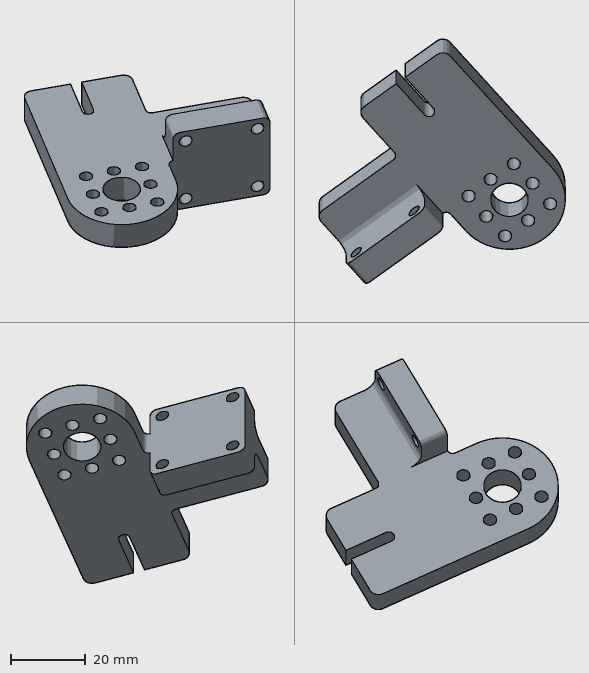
import cadquery as cq
import math

plate_thickness = 7.95
overall_length = 61.5
nose_radius = 15.0
body_length = overall_length - nose_radius
arm_width = 21.05
arm_right = -8.0
corner_radius = 2.5
inner_corner_radius = 1.5

slot_width = 3.1
slot_length = 13.65
bore_diameter = 10.0
screw_hole_diameter = 3.5
axis_hole_offset = 8.0
diagonal_hole_radius = 11.0

flange_thickness = 7.95
flange_length = 27.0
flange_height = 26.7
flange_corner_radius = 2.0
flange_hole_spacing = 20.0
cove_radius = 3.6
cove_width = 3.1

body_left = -body_length
arm_left = arm_right - arm_width
flange_start = nose_radius + inner_corner_radius
arm_top = flange_start + flange_length
flange_left = arm_right - flange_thickness
flange_mid_y = (flange_start + arm_top) / 2
half_plate = plate_thickness / 2


def make_plate():
    outline = (
        cq.Workplane("XY", origin=(0, 0, -half_plate))
        .moveTo(0, -nose_radius)
        .threePointArc((nose_radius, 0), (0, nose_radius))
        .lineTo(arm_right, nose_radius)
        .lineTo(arm_right, arm_top)
        .lineTo(arm_left, arm_top)
        .lineTo(arm_left, nose_radius)
        .lineTo(body_left, nose_radius)
        .lineTo(body_left, -nose_radius)
        .close()
    )
    plate = outline.extrude(plate_thickness)

    outer_corners = [(body_left, -nose_radius), (body_left, nose_radius), (arm_left, arm_top)]
    inner_corners = [(arm_left, nose_radius), (arm_right, nose_radius)]
    for corners, radius in ((outer_corners, corner_radius), (inner_corners, inner_corner_radius)):
        for x, y in corners:
            edge = plate.edges(cq.selectors.NearestToPointSelector((x, y, 0)))
            plate = edge.fillet(radius)
    return plate


def make_flange():
    block = cq.Workplane("XY").box(flange_thickness, flange_length, flange_height)
    block = block.edges("|X").fillet(flange_corner_radius)
    return block.translate((flange_left + flange_thickness / 2, flange_mid_y, 0))


def make_cove(side):
    """Concave strip joining the flange to the plate face on one side (+1 top, -1 bottom)."""
    center_x = flange_left - cove_radius
    rise = math.sqrt(cove_radius**2 - (cove_radius - cove_width) ** 2)
    cove_top = half_plate + rise
    mid = cove_radius * math.sqrt(0.5)
    embed = flange_thickness / 2
    return (
        cq.Workplane("XZ", origin=(0, arm_top, 0))
        .moveTo(flange_left - cove_width, side * half_plate)
        .threePointArc((center_x + mid, side * (cove_top - mid)), (flange_left, side * cove_top))
        .lineTo(flange_left + embed, side * cove_top)
        .lineTo(flange_left + embed, 0)
        .lineTo(flange_left - cove_width, 0)
        .close()
        .extrude(flange_length)
    )


def make_slot():
    straight = slot_length - slot_width / 2
    channel = cq.Workplane("XY").box(straight, slot_width, plate_thickness, centered=(False, True, True))
    end = cq.Workplane("XY").circle(slot_width / 2).extrude(half_plate, both=True)
    return channel.translate((body_left, 0, 0)).union(end.translate((body_left + straight, 0, 0)))


def make_plate_holes():
    a = axis_hole_offset
    d = diagonal_hole_radius * math.sqrt(0.5)
    centers = [(a, 0), (-a, 0), (0, a), (0, -a), (d, d), (-d, d), (-d, -d), (d, -d)]
    holes = cq.Workplane("XY").pushPoints(centers).circle(screw_hole_diameter / 2)
    bore = cq.Workplane("XY").circle(bore_diameter / 2)
    return holes.extrude(half_plate, both=True).union(bore.extrude(half_plate, both=True))


def make_flange_holes():
    return (
        cq.Workplane("YZ", origin=(flange_left - cove_width, flange_mid_y, 0))
        .rarray(flange_hole_spacing, flange_hole_spacing, 2, 2)
        .circle(screw_hole_diameter / 2)
        .extrude(cove_width + flange_thickness)
    )


result = make_plate().union(make_flange())
for side in (1, -1):
    result = result.union(make_cove(side))
result = result.cut(make_slot()).cut(make_plate_holes()).cut(make_flange_holes())